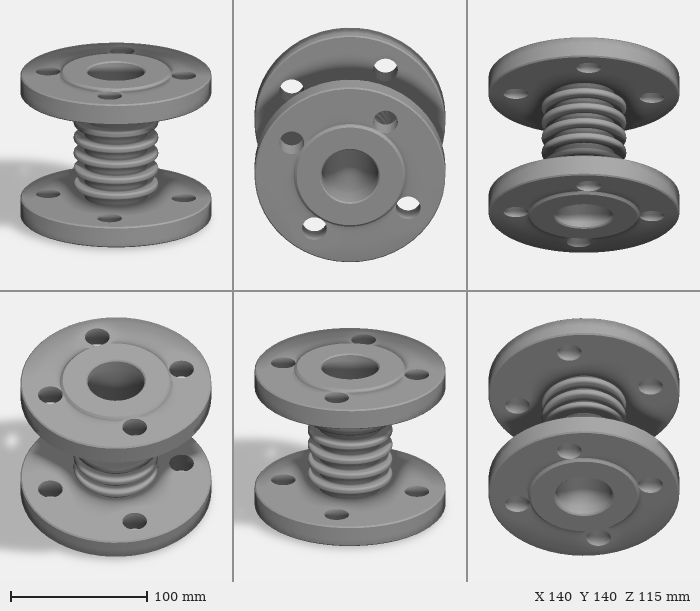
import cadquery as cq

total_height = 115.0
flange_diameter = 140.0
bore_diameter = 42.0
tube_diameter = 46.0

flange_thickness = 16.0
flange_edge_chamfer = 1.0
face_height = 2.0
face_base_diameter = 82.0
face_top_diameter = face_base_diameter - 2 * face_height
bore_chamfer = 1.0
bolt_count = 4
bolt_hole_diameter = 18.0
bolt_circle_diameter = 100.0

ring_count = 6
ring_span = 60.0
ring_pitch = ring_span / (ring_count - 1)
ring_diameter = 62.0
ring_thickness = 5.0
ring_edge_radius = 2.0


def make_top_flange():
    """Flange plate with a conical raised sealing face pointing up."""
    plate_bottom = total_height / 2 - face_height - flange_thickness
    plate = (
        cq.Workplane("XY", origin=(0, 0, plate_bottom))
        .circle(flange_diameter / 2)
        .extrude(flange_thickness)
        .edges()
        .chamfer(flange_edge_chamfer)
    )
    raised_face = (
        cq.Workplane("XY", origin=(0, 0, plate_bottom + flange_thickness))
        .circle(face_base_diameter / 2)
        .workplane(offset=face_height)
        .circle(face_top_diameter / 2)
        .loft()
    )
    return plate.union(raised_face)


def make_ring(center_z):
    """Disc with rounded rims, centred on the given height."""
    return (
        cq.Workplane("XY", origin=(0, 0, center_z - ring_thickness / 2))
        .circle(ring_diameter / 2)
        .extrude(ring_thickness)
        .edges()
        .fillet(ring_edge_radius)
    )


top_flange = make_top_flange()
tube_length = total_height - 2 * face_height
body = cq.Workplane("XY").circle(tube_diameter / 2).extrude(tube_length / 2, both=True)
body = body.union(top_flange).union(top_flange.mirror("XY"))

for index in range(ring_count):
    body = body.union(make_ring(index * ring_pitch - ring_span / 2))

bore = cq.Workplane("XY").circle(bore_diameter / 2).extrude(total_height / 2, both=True)
body = body.cut(bore)
body = body.faces("<Z or >Z").edges(cq.selectors.RadiusNthSelector(0)).chamfer(bore_chamfer)

bolt_holes = (
    cq.Workplane("XY")
    .polarArray(bolt_circle_diameter / 2, 45, 360, bolt_count)
    .circle(bolt_hole_diameter / 2)
    .extrude(total_height / 2, both=True)
)

result = body.cut(bolt_holes)